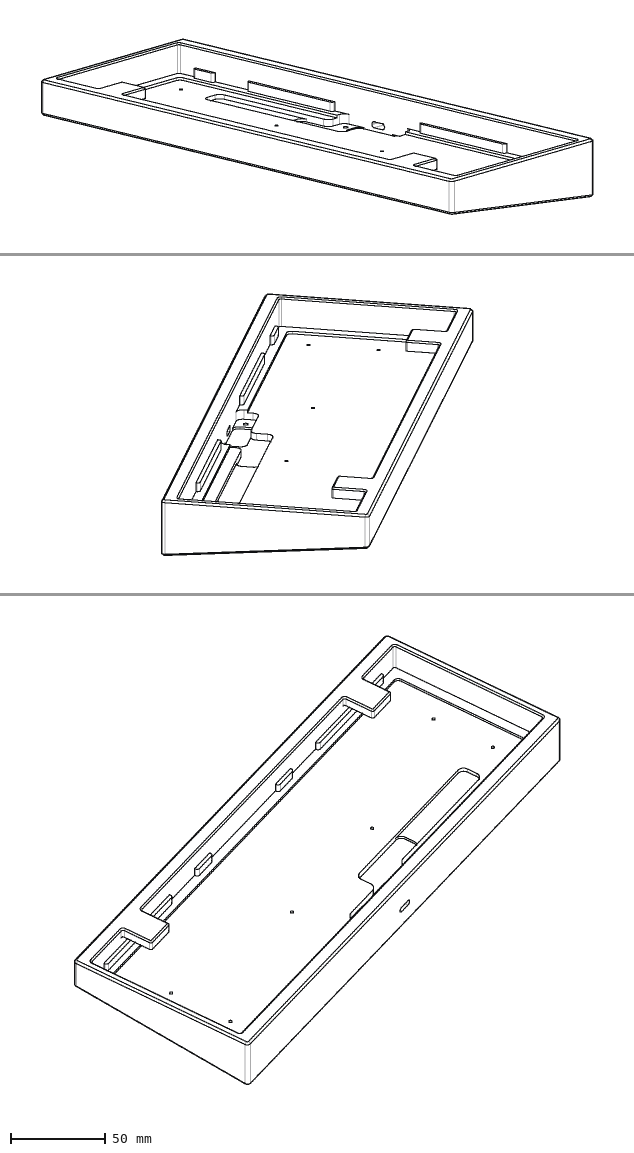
import cadquery as cq
import math

LENGTH = 295.7
WIDTH = 112.0
HEIGHT = 32.0
SLOPE_ANGLE = 6.5
CORNER_RADIUS = 2.0
EDGE_CHAMFER = 1.2

SIDE_WALL = 4.7
END_WALL = 8.3
LEDGE_DEPTH = 16.5
CAVITY_RADIUS = 1.2
LIP_CHAMFER = 1.0
FLOOR_LENGTH = 275.0
FLOOR_WIDTH = 84.5
FLOOR_RADIUS = 2.7
FLOOR_DEPTH = 18.0

REAR_PADS = [(31.0, 92.5), (116.8, 131.0)]
FRONT_PADS = [(31.0, 45.2), (69.0, 131.0)]
PAD_HEIGHT = 5.0
PAD_REACH = 2.0
PAD_RADIUS = 1.5

TAB_X = 104.7
TAB_WIDTH = 17.5
TAB_END_Y = -29.3
TAB_THICKNESS = 6.0
TAB_RADIUS = 1.2

BOARD_LENGTH = 49.0
BOARD_FRONT_Y = 35.8
BOARD_DEPTH = 22.0
RELIEF_LENGTH = 27.5
RELIEF_DEPTH = 23.0
CHANNEL_LEFT_X = -103.0
CHANNEL_STEP_X = -44.0
CHANNEL_RIGHT_X = -3.0
CHANNEL_FRONT_Y = 22.8
CHANNEL_DEPTH = 20.5
POCKET_RADIUS = 3.5

PORT_LENGTH = 9.0
PORT_HEIGHT = 3.3
PORT_RADIUS = 1.5
PORT_DEPTH = 19.0

FLOOR_HOLES = [(124.0, 28.5), (124.0, -9.5), (37.8, 9.5)]
FLOOR_HOLE_DIAMETER = 1.6
BOARD_HOLE_X = 18.0
BOARD_HOLE_Y = 42.0
BOARD_HOLE_DIAMETER = 2.5
HOLE_DEPTH = 3.0

FOOT_X = 137.5
FOOT_Y = 45.8
FOOT_DIAMETER = 8.3
FOOT_DEPTH = 1.0

MARGIN = 0.3

SLOPE = math.tan(math.radians(SLOPE_ANGLE))
REAR_HEIGHT = HEIGHT + EDGE_CHAMFER * math.sin(math.radians(SLOPE_ANGLE))
FRONT_HEIGHT = REAR_HEIGHT - WIDTH * SLOPE
CAVITY_LENGTH = LENGTH - 2 * SIDE_WALL
CAVITY_WIDTH = WIDTH - 2 * END_WALL
WALL_Y = CAVITY_WIDTH / 2


def block(x_range, y_range, z_range):
    """Box spanning the given (low, high) ranges."""
    size = [high - low for low, high in (x_range, y_range, z_range)]
    corner = (x_range[0], y_range[0], z_range[0])
    return cq.Workplane("XY").box(*size, centered=False).translate(corner)


def region(x_range, y_range, z_range):
    """Selector for edges centred within the given ranges, widened by the margin."""
    ranges = (x_range, y_range, z_range)
    low = tuple(bounds[0] - MARGIN for bounds in ranges)
    high = tuple(bounds[1] + MARGIN for bounds in ranges)
    return cq.selectors.BoxSelector(low, high)


def pocket(x_range, y_range, depth, radius):
    """Cutter from the ledge down to the given depth, with rounded upright edges."""
    return block(x_range, y_range, (-depth, -LEDGE_DEPTH)).edges("|Z").fillet(radius)


def drill(x, y, depth, diameter):
    """Blind hole going down from the given depth."""
    hole = cq.Workplane("XY").circle(diameter / 2).extrude(-HOLE_DEPTH)
    return hole.translate((x, y, -depth))


def make_body():
    half = WIDTH / 2
    profile = [(-half, 0), (half, 0), (half, -REAR_HEIGHT), (-half, -FRONT_HEIGHT)]
    body = cq.Workplane("YZ").polyline(profile).close().extrude(LENGTH / 2, both=True)
    body = body.edges("|Z").fillet(CORNER_RADIUS)
    return body.faces(">Z or <Z").chamfer(EDGE_CHAMFER)


def make_cavity():
    cavity = cq.Workplane("XY").rect(CAVITY_LENGTH, CAVITY_WIDTH).extrude(-LEDGE_DEPTH)
    cavity = cavity.edges("|Z").fillet(CAVITY_RADIUS)
    floor = pocket(
        (-FLOOR_LENGTH / 2, FLOOR_LENGTH / 2),
        (-FLOOR_WIDTH / 2, FLOOR_WIDTH / 2),
        FLOOR_DEPTH,
        FLOOR_RADIUS,
    )
    return cavity.union(floor)


def make_tab(x):
    """Tab whose root is buried in the front rim."""
    root_y = -WALL_Y - END_WALL / 2
    sides = (x - TAB_WIDTH / 2, x + TAB_WIDTH / 2)
    return block(sides, (root_y, TAB_END_Y), (-TAB_THICKNESS, 0))


def round_tabs_and_lip(case):
    """Round the tab corners, then chamfer the inner edge of the rim, including around the tabs."""
    half_tabs = TAB_X + TAB_WIDTH / 2
    tab_corners = region((-half_tabs, half_tabs), (-WALL_Y, TAB_END_Y), (-TAB_THICKNESS, 0))
    case = case.edges("|Z").edges(tab_corners).fillet(TAB_RADIUS)
    half_cavity = CAVITY_LENGTH / 2
    lip = region((-half_cavity, half_cavity), (-WALL_Y, WALL_Y), (0, 0))
    return case.faces(">Z").edges(lip).chamfer(LIP_CHAMFER)


def make_pad(x_range, wall_side):
    """Pad on the ledge; wall_side is +1 at the rear wall and -1 at the front wall."""
    y_range = sorted((wall_side * (WALL_Y - PAD_REACH), wall_side * (WALL_Y + PAD_REACH)))
    pad = block(x_range, y_range, (-LEDGE_DEPTH, PAD_HEIGHT - LEDGE_DEPTH))
    return pad.edges("|Z").fillet(PAD_RADIUS)


def make_board_pockets():
    """Board pocket and deep channel as one level, plus the deeper relief and the shallow channel."""
    board_y = (BOARD_FRONT_Y, WALL_Y)
    half_board = BOARD_LENGTH / 2
    half_relief = RELIEF_LENGTH / 2

    board = pocket((-half_board, half_board), board_y, BOARD_DEPTH, POCKET_RADIUS)
    deep_y = (CHANNEL_FRONT_Y, BOARD_FRONT_Y)
    deep = pocket((CHANNEL_STEP_X, CHANNEL_RIGHT_X), deep_y, BOARD_DEPTH, POCKET_RADIUS)
    throat_x = (-half_board, CHANNEL_RIGHT_X)
    throat_y = (BOARD_FRONT_Y - POCKET_RADIUS, BOARD_FRONT_Y + POCKET_RADIUS)
    throat = block(throat_x, throat_y, (-BOARD_DEPTH, -LEDGE_DEPTH))
    level = board.union(deep).union(throat)
    for x in throat_x:
        corner = region((x, x), (BOARD_FRONT_Y, BOARD_FRONT_Y), (-BOARD_DEPTH, -LEDGE_DEPTH))
        level = level.edges("|Z").edges(corner).fillet(POCKET_RADIUS)

    relief = pocket((-half_relief, half_relief), board_y, RELIEF_DEPTH, POCKET_RADIUS)
    shallow_x = (CHANNEL_LEFT_X, CHANNEL_STEP_X + 2 * POCKET_RADIUS)
    shallow = pocket(shallow_x, deep_y, CHANNEL_DEPTH, POCKET_RADIUS)
    return level.union(relief).union(shallow)


def make_port():
    port = cq.Workplane("XZ").rect(PORT_LENGTH, PORT_HEIGHT).extrude(-2 * END_WALL)
    port = port.edges("|Y").fillet(PORT_RADIUS)
    return port.translate((0, WALL_Y - END_WALL / 2, -PORT_DEPTH))


def make_foot_recess(x, y):
    """Round recess square to the sloping underside."""
    underside_z = -FRONT_HEIGHT - (y + WIDTH / 2) * SLOPE
    foot = cq.Workplane("XY").circle(FOOT_DIAMETER / 2).extrude(FOOT_DEPTH, both=True)
    foot = foot.rotate((0, 0, 0), (1, 0, 0), -SLOPE_ANGLE)
    return foot.translate((x, y, underside_z))


result = make_body().cut(make_cavity())
for side in (-1, 1):
    result = result.union(make_tab(side * TAB_X))
result = round_tabs_and_lip(result)
for wall_side, pads in ((1, REAR_PADS), (-1, FRONT_PADS)):
    for inner, outer in pads:
        result = result.union(make_pad((inner, outer), wall_side))
        result = result.union(make_pad((-outer, -inner), wall_side))

result = result.cut(make_board_pockets()).cut(make_port())
for side in (-1, 1):
    for x, y in FLOOR_HOLES:
        result = result.cut(drill(side * x, y, FLOOR_DEPTH, FLOOR_HOLE_DIAMETER))
    result = result.cut(drill(side * BOARD_HOLE_X, BOARD_HOLE_Y, BOARD_DEPTH, BOARD_HOLE_DIAMETER))
    for y in (-FOOT_Y, FOOT_Y):
        result = result.cut(make_foot_recess(side * FOOT_X, y))